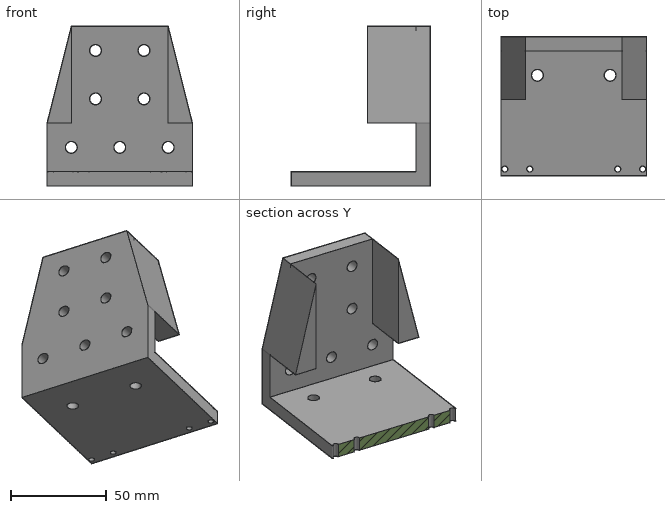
import cadquery as cq

width = 76.2
depth = 72.9
height = 83.7
thickness = 7.6

pitch = (height - thickness) / 3
wing_bottom = thickness + pitch
wing_depth = thickness + pitch
top_width = 2 * pitch

large_diameter = 6.0
small_diameter = 3.0
small_hole_inset = 3.5
small_hole_outer_x = 36.1
small_hole_inner_x = 23.0

half_width = width / 2
half_top = top_width / 2
back = depth / 2
wall_front = back - thickness


def base_plate():
    return cq.Workplane("XY").box(width, depth, thickness, centered=(True, True, False))


def back_wall():
    """Wall whose sides taper inwards above the wing bottom."""
    outline = [
        (-half_width, 0),
        (half_width, 0),
        (half_width, wing_bottom),
        (half_top, height),
        (-half_top, height),
        (-half_width, wing_bottom),
    ]
    return cq.Workplane("XZ", origin=(0, back, 0)).polyline(outline).close().extrude(thickness)


def wing(side):
    """Triangular wing reaching forward; side is -1 for left and 1 for right."""
    outline = [
        (side * half_top, wing_bottom),
        (side * half_width, wing_bottom),
        (side * half_top, height),
    ]
    return cq.Workplane("XZ", origin=(0, back, 0)).polyline(outline).close().extrude(wing_depth)


def wall_holes():
    lowest_row = thickness + pitch / 2
    points = [(x, lowest_row) for x in (-pitch, 0, pitch)]
    for row in (1, 2):
        points += [(side * pitch / 2, lowest_row + row * pitch) for side in (-1, 1)]
    return (
        cq.Workplane("XZ", origin=(0, back, 0))
        .pushPoints(points)
        .circle(large_diameter / 2)
        .extrude(thickness)
    )


def base_holes(points, diameter):
    return cq.Workplane("XY").pushPoints(points).circle(diameter / 2).extrude(thickness)


large_points = [(side * 3 * pitch / 4, wall_front - pitch / 2) for side in (-1, 1)]
small_points = [
    (side * x, -back + small_hole_inset)
    for side in (-1, 1)
    for x in (small_hole_inner_x, small_hole_outer_x)
]

result = base_plate().union(back_wall())
for wing_side in (-1, 1):
    result = result.union(wing(wing_side))
result = result.cut(wall_holes())
result = result.cut(base_holes(large_points, large_diameter))
result = result.cut(base_holes(small_points, small_diameter))